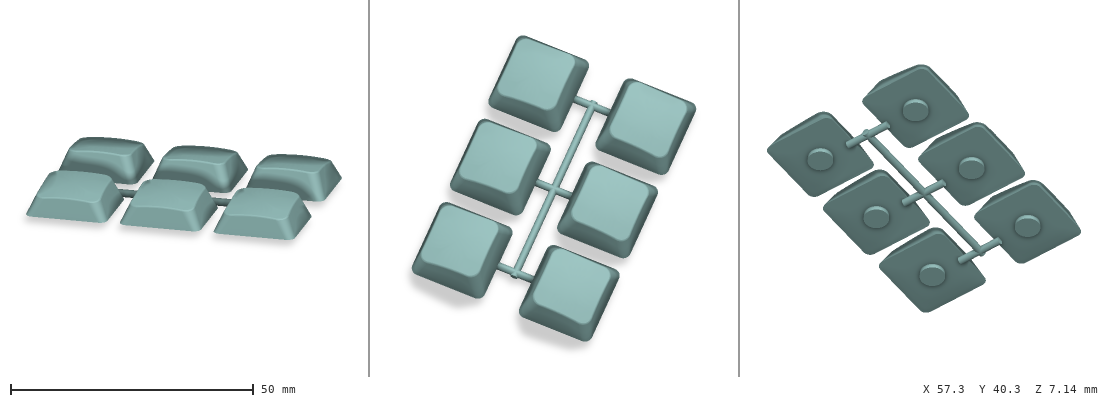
import cadquery as cq

overall_length = 57.3
overall_depth = 40.3
columns = 3
key_pitch = 20.0

key_width = overall_length - (columns - 1) * key_pitch
key_depth = 16.3
row_center_y = (overall_depth - key_depth) / 2
base_corner_radius = 1.6
top_width = 12.85
top_depth = 12.6
top_corner_radius = 2.35
top_shift = 0.6
top_height = 5.45
top_tilt = 6.5

dome_radius = 45.85
top_edge_fillet = 0.45

pad_diameter = 5.3
pad_height = 1.05

rod_diameter = 1.6
rod_center_z = -0.6
cross_rod_length = 10.0
main_rod_overhang = 1.0
main_rod_length = (columns - 1) * key_pitch + 2 * main_rod_overhang


def make_key():
    """One key centred on the Z axis, its outer edge towards +Y."""
    base = cq.Sketch().rect(key_width, key_depth).vertices().fillet(base_corner_radius)
    top = cq.Sketch().rect(top_width, top_depth).vertices().fillet(top_corner_radius)
    top_place = cq.Location((0, top_shift, top_height), (-top_tilt, 0, 0))
    body = cq.Workplane("XY").placeSketch(base, top.moved(top_place)).loft(ruled=True)

    dome_place = top_place * cq.Location((0, 0, -dome_radius))
    dome = cq.Workplane(cq.Workplane("XY").sphere(dome_radius).val().moved(dome_place))
    body = body.intersect(dome)
    body = body.faces("%SPHERE").edges().fillet(top_edge_fillet)

    pad = cq.Workplane("XY").circle(pad_diameter / 2).extrude(pad_height, both=True)
    return body.union(pad)


def make_rod(plane, length):
    """A round rod centred on the origin, along the normal of the plane."""
    return cq.Workplane(plane).circle(rod_diameter / 2).extrude(length / 2, both=True)


column_positions = [(column - (columns - 1) / 2) * key_pitch for column in range(columns)]
key = make_key()
cross_rod = make_rod("XZ", cross_rod_length)

result = make_rod("YZ", main_rod_length).translate((0, 0, rod_center_z))
for x in column_positions:
    result = result.union(cross_rod.translate((x, 0, rod_center_z)))
    for turn in (0, 180):
        placed_key = key.translate((0, row_center_y, 0)).rotate((0, 0, 0), (0, 0, 1), turn)
        result = result.union(placed_key.translate((x, 0, 0)))